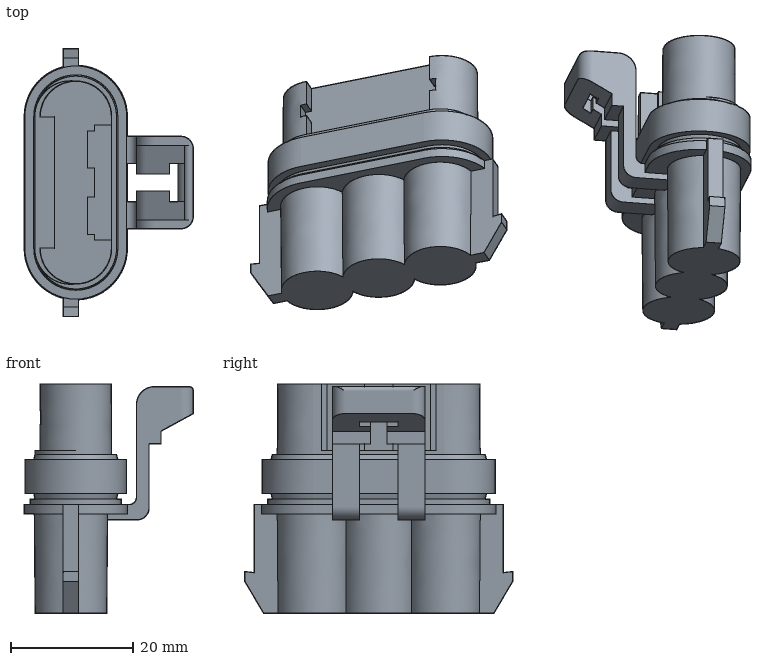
import cadquery as cq
import math

CAVITY_PITCH = 10.75
TOTAL_HEIGHT = 37.6
TAB_TIP_Y = 21.95

BARREL_X = -0.8
BARREL_RADIUS = 5.9
BARREL_ROOT_RADIUS = 6.0

FLANGE_RADIUS = 8.47
FLANGE_BOTTOM = 16.3
FLANGE_TOP = 17.82
STEP_RADIUS = 7.45
STEP_TOP = 18.7
COLLAR_RADIUS = 6.9
COLLAR_TAPER = 0.2
COLLAR_TOP = 26.05
SEAL_RADIUS = 8.35
SEAL_BOTTOM = 19.6
SEAL_TOP = 25.2
LIP_RADIUS = 5.93
LIP_TOP = 26.7

TOWER_RADIUS = 5.9
TOWER_TIP_RADIUS = 5.85
FRONT_RECESS_X = -3.45
WINDOW_BOTTOM = 30.95
WINDOW_TOP = 33.2
WINDOW_DEPTH = 1.05
REAR_RECESS_X = 3.05
REAR_RECESS_HALF = 9.4
KEYWAY_X = 1.95
KEYWAY_INNER_Y = 2.35
KEYWAY_OUTER_Y = 8.47

TAB_WIDTH = 2.55
TAB_STEM_Y = 20.4
TAB_FOOT_Y = 18.88
BARB_BOTTOM = 5.22
BARB_ROOT = 6.67
BARB_TOP = 6.85

LATCH_HALF_WIDTH = 7.6
LATCH_BOTTOM = 15.28
LATCH_TOP = 37.15
LATCH_END_X = 19.27
ARM_INNER_X = 9.9
ARM_OUTER_X = 12.05
ARM_GAP_HALF = 3.1
ARM_INNER_RADIUS = 1.2
ARM_OUTER_RADIUS = 2.0
LEVER_BOTTOM = 27.75
LEVER_STEP_X = 13.95
LEVER_STEP_TOP = 29.8
LEVER_TIP_BOTTOM = 32.7
LEVER_RADIUS = 3.0
LEVER_CORNER_RADIUS = 2.1
SIDE_WALL = 1.5
END_WALL = 1.5
END_OUTER_RADIUS = 0.75
END_INNER_RADIUS = 0.7
FLOOR_ANGLE = 30
FLOOR_END_Z = 34.15
SPLIT_HALF = 1.35
SLOT_START_X = 15.35
SLOT_END_X = 16.73


def block(x0, x1, y0, y1, z0, z1):
    return cq.Workplane("XY").box(x1 - x0, y1 - y0, z1 - z0, centered=False).translate((x0, y0, z0))


def oblong(radius, z0, z1, x=0, draft=0):
    """Round-ended prism whose end centres are the two outer cavity centres."""
    length = 2 * (CAVITY_PITCH + radius)
    return cq.Workplane("XY", origin=(x, 0, z0)).slot2D(length, 2 * radius, 90).extrude(z1 - z0, taper=draft)


def barrels():
    centres = [(BARREL_X, i * CAVITY_PITCH) for i in (-1, 0, 1)]
    draft = -math.degrees(math.atan((BARREL_ROOT_RADIUS - BARREL_RADIUS) / FLANGE_BOTTOM))
    return cq.Workplane("XY").pushPoints(centres).circle(BARREL_RADIUS).extrude(FLANGE_BOTTOM, taper=draft)


def rings():
    collar = oblong(COLLAR_RADIUS, STEP_TOP, COLLAR_TOP)
    collar = collar.faces(">Z").chamfer(COLLAR_TOP - SEAL_TOP, COLLAR_TAPER)
    collar = collar.faces("<Z").chamfer(SEAL_BOTTOM - STEP_TOP, COLLAR_TAPER)
    flange = oblong(FLANGE_RADIUS, FLANGE_BOTTOM, FLANGE_TOP)
    step = oblong(STEP_RADIUS, FLANGE_TOP, STEP_TOP)
    seal = oblong(SEAL_RADIUS, SEAL_BOTTOM, SEAL_TOP)
    lip_half = block(-FLANGE_RADIUS, 0, -TAB_TIP_Y, TAB_TIP_Y, SEAL_TOP, LIP_TOP)
    lip = oblong(LIP_RADIUS, SEAL_TOP, LIP_TOP, BARREL_X).intersect(lip_half)
    return flange.union(step).union(collar).union(seal).union(lip)


def tower():
    draft = math.degrees(math.atan((TOWER_RADIUS - TOWER_TIP_RADIUS) / (TOTAL_HEIGHT - SEAL_TOP)))
    body = oblong(TOWER_RADIUS, SEAL_TOP, TOTAL_HEIGHT, draft=draft)
    front = block(-FLANGE_RADIUS, FRONT_RECESS_X, -CAVITY_PITCH, CAVITY_PITCH, LIP_TOP, TOTAL_HEIGHT)
    window_y = CAVITY_PITCH + WINDOW_DEPTH
    windows = block(-FLANGE_RADIUS, FRONT_RECESS_X, -window_y, window_y, WINDOW_BOTTOM, WINDOW_TOP)
    rear = block(REAR_RECESS_X, FLANGE_RADIUS, -REAR_RECESS_HALF, REAR_RECESS_HALF, LIP_TOP, TOTAL_HEIGHT)
    body = body.cut(front).cut(windows).cut(rear)
    for y0, y1 in ((-KEYWAY_OUTER_Y, -KEYWAY_INNER_Y), (KEYWAY_INNER_Y, KEYWAY_OUTER_Y)):
        body = body.cut(block(KEYWAY_X, REAR_RECESS_X, y0, y1, LIP_TOP, TOTAL_HEIGHT))
    return body


def side_tabs():
    outline = [
        (CAVITY_PITCH, 0),
        (TAB_FOOT_Y, 0),
        (TAB_TIP_Y, BARB_BOTTOM),
        (TAB_TIP_Y, BARB_TOP),
        (TAB_STEM_Y, BARB_ROOT),
        (TAB_STEM_Y, FLANGE_TOP),
        (CAVITY_PITCH, FLANGE_TOP),
    ]
    start_x = BARREL_X - TAB_WIDTH / 2
    tab = cq.Workplane("YZ", origin=(start_x, 0, 0)).polyline(outline).close().extrude(TAB_WIDTH)
    return tab.union(tab.mirror("XZ"))


def latch_plan():
    """Plan outline of the latch, with the upright corners of the lever end rounded."""
    plan = block(BARREL_X, LATCH_END_X, -LATCH_HALF_WIDTH, LATCH_HALF_WIDTH, LATCH_BOTTOM, LATCH_TOP)
    return plan.edges("|Z and >X").fillet(LEVER_CORNER_RADIUS)


def round_edge(solid, x, z, radius):
    """Fillet the edge along Y that passes through the given X and Z."""
    return solid.edges(cq.selectors.NearestToPointSelector((x, 0, z))).fillet(radius)


def latch_blank():
    """Full-width side profile of the arms and lever, with the outer edges rounded."""
    outline = [
        (BARREL_X, LATCH_BOTTOM),
        (ARM_OUTER_X, LATCH_BOTTOM),
        (ARM_OUTER_X, LEVER_BOTTOM),
        (LEVER_STEP_X, LEVER_BOTTOM),
        (LEVER_STEP_X, LEVER_STEP_TOP),
        (LATCH_END_X, LEVER_TIP_BOTTOM),
        (LATCH_END_X, LATCH_TOP),
        (ARM_INNER_X, LATCH_TOP),
        (ARM_INNER_X, FLANGE_TOP),
        (BARREL_X, FLANGE_TOP),
    ]
    blank = cq.Workplane("XZ").polyline(outline).close().extrude(LATCH_HALF_WIDTH, both=True)
    blank = round_edge(blank, ARM_OUTER_X, LATCH_BOTTOM, ARM_OUTER_RADIUS)
    blank = round_edge(blank, ARM_INNER_X, FLANGE_TOP, ARM_INNER_RADIUS)
    blank = round_edge(blank, ARM_INNER_X, LATCH_TOP, LEVER_RADIUS)
    return round_edge(blank, LATCH_END_X, LATCH_TOP, END_OUTER_RADIUS).intersect(latch_plan())


def floor_round(front_x, radius, top_z):
    """Bottom and middle points of an arc rising from an upright face to meet the sloped floor."""
    slope = math.radians(FLOOR_ANGLE)
    bottom_z = top_z - radius * math.cos(slope)
    mid_angle = (math.pi / 2 - slope) / 2
    middle = (
        front_x + radius * (1 - math.cos(mid_angle)),
        bottom_z + radius * math.sin(mid_angle),
    )
    return (front_x, bottom_z), middle


def lever_pocket():
    """Space between the lever side walls, above the sloped floor."""
    half_width = LATCH_HALF_WIDTH - SIDE_WALL
    wall_x = LATCH_END_X - END_WALL
    slope = math.radians(FLOOR_ANGLE)

    floor_start_x = ARM_INNER_X + LEVER_RADIUS * (1 - math.sin(slope))
    floor_start_z = FLOOR_END_Z - (wall_x - floor_start_x) * math.tan(slope)
    round_bottom, round_middle = floor_round(ARM_INNER_X, LEVER_RADIUS, floor_start_z)
    return (
        cq.Workplane("XZ")
        .moveTo(*round_bottom)
        .threePointArc(round_middle, (floor_start_x, floor_start_z))
        .lineTo(wall_x, FLOOR_END_Z)
        .lineTo(wall_x, TOTAL_HEIGHT)
        .lineTo(BARREL_X, TOTAL_HEIGHT)
        .lineTo(BARREL_X, round_bottom[1])
        .close()
        .extrude(half_width, both=True)
    )


def lower_bar_slot():
    """Slot through the floor; the bar beyond it has an edge rounded tangent to the floor."""
    wall_x = LATCH_END_X - END_WALL
    bar_radius = (wall_x - SLOT_END_X) / (1 - math.sin(math.radians(FLOOR_ANGLE)))
    round_bottom, round_middle = floor_round(SLOT_END_X, bar_radius, FLOOR_END_Z)
    return (
        cq.Workplane("XZ")
        .moveTo(SLOT_START_X, LEVER_BOTTOM)
        .lineTo(SLOT_END_X, LEVER_BOTTOM)
        .lineTo(*round_bottom)
        .threePointArc(round_middle, (wall_x, FLOOR_END_Z))
        .lineTo(SLOT_START_X, FLOOR_END_Z)
        .close()
        .extrude(ARM_GAP_HALF, both=True)
    )


def latch():
    arm_gap = block(BARREL_X, ARM_OUTER_X, -ARM_GAP_HALF, ARM_GAP_HALF, LATCH_BOTTOM, LEVER_BOTTOM)
    split = block(ARM_INNER_X, SLOT_START_X, -SPLIT_HALF, SPLIT_HALF, LEVER_BOTTOM, LATCH_TOP)
    body = latch_blank().cut(lever_pocket())
    body = round_edge(body, LATCH_END_X - END_WALL, LATCH_TOP, END_INNER_RADIUS)
    return body.cut(lower_bar_slot()).cut(arm_gap).cut(split)


result = barrels().union(rings()).union(tower()).union(side_tabs()).union(latch())